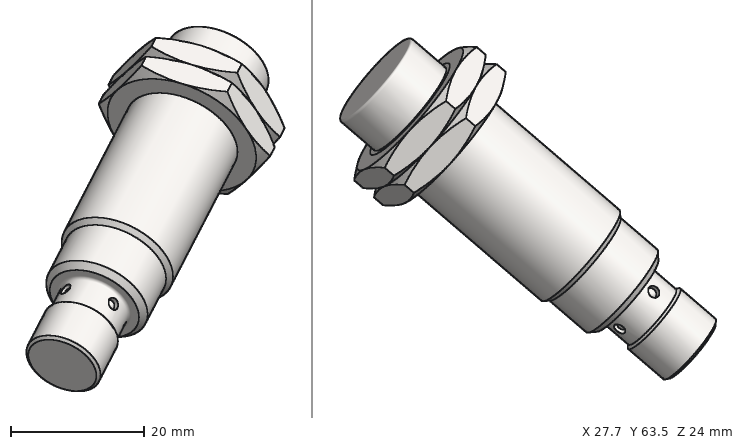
import cadquery as cq
import math


TOTAL_LENGTH = 63.5
BARREL_START = 7.0
BARREL_END = 42.0
SHOULDER_END = 50.5
COLLAR_START = 55.6

BARREL_DIA = 18.0
SLEEVE_DIA = 16.4
STEM_DIA = 11.0
COLLAR_DIA = 12.0

FACE_FILLET = 0.4
SHOULDER_CHAMFER = 1.0
STEM_ROOT_FILLET = 0.5
COLLAR_CHAMFER_LENGTH = 0.4

HOLE_COUNT = 4
HOLE_DIA = 1.9
HOLE_FIRST_ANGLE = 45.0
HOLE_DISTANCE = 52.5
LENS_RECESS = 0.3

NUT_COUNT = 2
NUT_ACROSS_FLATS = 24.0
NUT_THICKNESS = 4.0
NUT_CHAMFER_ANGLE = 30.0

BARREL_RADIUS = BARREL_DIA / 2
SLEEVE_RADIUS = SLEEVE_DIA / 2
STEM_RADIUS = STEM_DIA / 2
COLLAR_RADIUS = COLLAR_DIA / 2


def revolve_about_axis(points):
    """Revolve (radius, distance from the sensing face) points about the Y axis."""
    outline = [(radius, -distance) for radius, distance in points]
    return cq.Workplane("XY").polyline(outline).close().revolve(360, (0, 0, 0), (0, 1, 0))


def indicator_hole(angle):
    """Radial cutter at the given angle that leaves a domed lens at the bottom of the hole."""
    radius = HOLE_DIA / 2
    lens_base = STEM_RADIUS - LENS_RECESS - radius
    bore = cq.Workplane("XY", origin=(0, 0, lens_base)).circle(radius).extrude(COLLAR_RADIUS - lens_base)
    lens = cq.Workplane("XY", origin=(0, 0, lens_base)).sphere(radius)
    cutter = bore.cut(lens)
    return cutter.translate((0, -HOLE_DISTANCE, 0)).rotate((0, 0, 0), (0, 1, 0), angle)


def make_sensor():
    barrel_chamfer = BARREL_RADIUS - SLEEVE_RADIUS
    body = revolve_about_axis([
        (0, 0),
        (SLEEVE_RADIUS, 0),
        (SLEEVE_RADIUS, BARREL_START),
        (BARREL_RADIUS, BARREL_START),
        (BARREL_RADIUS, BARREL_END - barrel_chamfer),
        (SLEEVE_RADIUS, BARREL_END),
        (SLEEVE_RADIUS, SHOULDER_END - SHOULDER_CHAMFER),
        (SLEEVE_RADIUS - SHOULDER_CHAMFER, SHOULDER_END),
        (STEM_RADIUS, SHOULDER_END),
        (STEM_RADIUS, COLLAR_START),
        (COLLAR_RADIUS, COLLAR_START + COLLAR_CHAMFER_LENGTH),
        (COLLAR_RADIUS, TOTAL_LENGTH - COLLAR_CHAMFER_LENGTH),
        (STEM_RADIUS, TOTAL_LENGTH),
        (0, TOTAL_LENGTH),
    ])
    body = body.faces(">Y").edges().fillet(FACE_FILLET)
    stem_root = cq.selectors.BoxSelector(
        (-COLLAR_RADIUS, -SHOULDER_END - STEM_ROOT_FILLET, -COLLAR_RADIUS),
        (COLLAR_RADIUS, -SHOULDER_END + STEM_ROOT_FILLET, COLLAR_RADIUS),
        boundingbox=True,
    )
    body = body.edges(stem_root).fillet(STEM_ROOT_FILLET)
    for index in range(HOLE_COUNT):
        body = body.cut(indicator_hole(HOLE_FIRST_ANGLE + index * 360 / HOLE_COUNT))
    return body


def make_nut(start):
    """Hexagon nut, chamfered on both sides, whose rear face is at the given distance."""
    corner_radius = NUT_ACROSS_FLATS / 2 / math.cos(math.pi / 6)
    flat_radius = NUT_ACROSS_FLATS / 2
    chamfer = (corner_radius - flat_radius) * math.tan(math.radians(NUT_CHAMFER_ANGLE))
    end = start + NUT_THICKNESS
    hexagon = (
        cq.Workplane("XZ", origin=(0, -start, 0))
        .polygon(6, 2 * corner_radius)
        .extrude(NUT_THICKNESS)
    )
    chamfered_ring = revolve_about_axis([
        (BARREL_RADIUS, start),
        (flat_radius, start),
        (corner_radius, start + chamfer),
        (corner_radius, end - chamfer),
        (flat_radius, end),
        (BARREL_RADIUS, end),
    ])
    return hexagon.intersect(chamfered_ring)


sensor = make_sensor()
lock_nuts = [make_nut(BARREL_START + index * NUT_THICKNESS) for index in range(NUT_COUNT)]

result = cq.Compound.makeCompound([sensor.val(), *[nut.val() for nut in lock_nuts]])